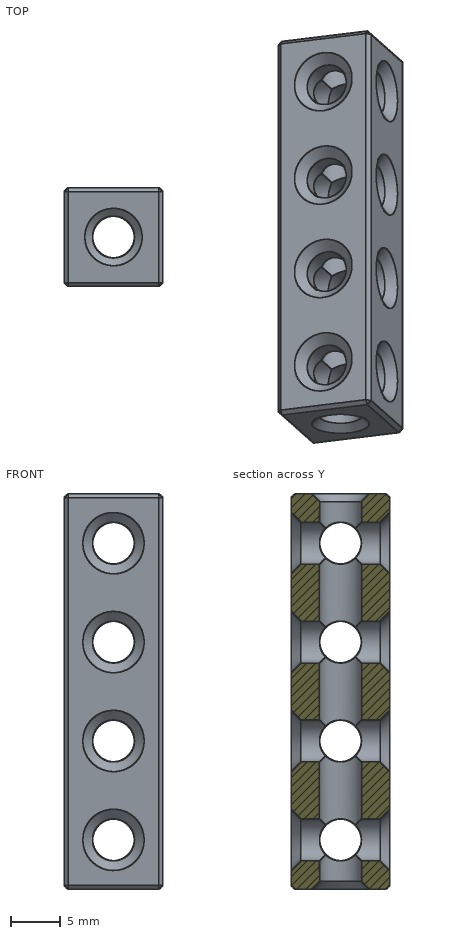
import cadquery as cq

length = 40.0
hole_count = 4
pitch = length / hole_count
width = pitch
edge_chamfer = 0.4

hole_diameter = 4.2
side_sink_diameter = 6.2
end_sink_diameter = 5.8


def countersunk_hole(depth, sink_diameter):
    """Through hole along Z, centred on the origin, with a cone at both ends."""
    half = depth / 2
    hole_radius = hole_diameter / 2
    sink_radius = sink_diameter / 2
    sink_depth = sink_radius - hole_radius
    profile = [
        (0, -half),
        (sink_radius, -half),
        (hole_radius, -half + sink_depth),
        (hole_radius, half - sink_depth),
        (sink_radius, half),
        (0, half),
    ]
    return cq.Workplane("XZ").polyline(profile).close().revolve(360, (0, 0), (0, 1))


bar = cq.Workplane("XY").box(width, width, length).edges().chamfer(edge_chamfer)

result = bar.cut(countersunk_hole(length, end_sink_diameter))

hole_along_z = countersunk_hole(width, side_sink_diameter)
hole_along_y = hole_along_z.rotate((0, 0, 0), (1, 0, 0), 90)
hole_along_x = hole_along_z.rotate((0, 0, 0), (0, 1, 0), 90)
for index in range(hole_count):
    height = (index - (hole_count - 1) / 2) * pitch
    result = result.cut(hole_along_y.translate((0, 0, height)))
    result = result.cut(hole_along_x.translate((0, 0, height)))